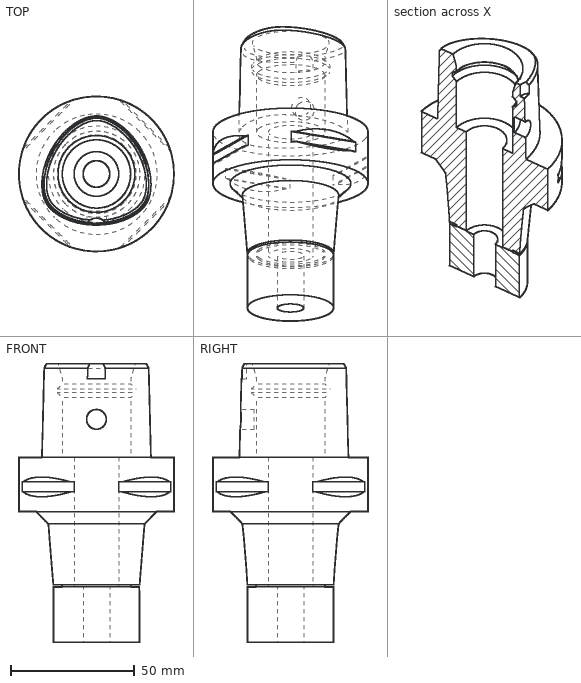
import cadquery as cq
import math

taper_top = 38.0
flange_bottom = -22.0
shoulder_bottom = -27.0
neck_bottom = -51.7
nut_gap = 0.8
nut_top = neck_bottom - nut_gap
nut_bottom = -75.0

polygon_width = 44.3
lobe_rise = 1.4
taper_narrowing = 1 / 20
rim_chamfer_height = 1.8
rim_chamfer_inset = 1.0
lobe_count = 3
spline_steps = 48

flange_diameter = 63.0
shoulder_top_diameter = 49.0
neck_top_diameter = 39.1
neck_bottom_diameter = 35.1
spigot_diameter = 28.0

mouth_diameter = 31.2
bore_diameter = 27.7
mouth_cone_depth = 6.1
lip_depth = 8.2
groove_diameter = 32.0
groove_end_depth = 13.7
groove_flank_height = 2.0
bore_depth = 38.0
shank_bore_diameter = 18.1

gripper_count = 4
gripper_start_angle = 45.0
gripper_mid = -12.0
gripper_floor_distance = 27.75
gripper_floor_height = 4.1
gripper_wall_depth = 0.7
gripper_mouth_height = 8.0

notch_radius = 4.5
notch_depth = 6.1
notch_reach = 17.9
index_hole_diameter = 8.0
index_hole_height = 15.4
index_hole_floor = 15.0

nut_diameter = 35.0
nut_collar_diameter = 34.9
nut_collar_height = 1.75
nut_edge_height = 0.2
nut_bore_diameter = 10.7


def turn(outline):
    """Revolve an outline of (radius, height) points about Z."""
    return cq.Workplane("XZ").polyline(outline).close().revolve(360, (0, 0), (0, 1))


def polygon_wire(width, height):
    """Three-lobed outline of constant width, with one lobe toward +Y."""
    def point(fraction):
        angle = 2 * math.pi * fraction
        reach = width / 2 - lobe_rise * math.sin(lobe_count * angle)
        slope = -lobe_count * lobe_rise * math.cos(lobe_count * angle)
        return (
            reach * math.cos(angle) - slope * math.sin(angle),
            reach * math.sin(angle) + slope * math.cos(angle),
            height,
        )

    points = [cq.Vector(*point(step / spline_steps)) for step in range(spline_steps)]
    return cq.Wire.assembleEdges([cq.Edge.makeSpline(points, periodic=True)])


def polygon_frustum(low_width, low_height, high_width, high_height):
    wires = [polygon_wire(low_width, low_height), polygon_wire(high_width, high_height)]
    return cq.Workplane(cq.Solid.makeLoft(wires, True))


def make_taper():
    chamfer_start = taper_top - rim_chamfer_height
    chamfer_width = polygon_width - chamfer_start * taper_narrowing
    rim_width = chamfer_width - 2 * rim_chamfer_inset
    shank = polygon_frustum(polygon_width, 0, chamfer_width, chamfer_start)
    rim = polygon_frustum(chamfer_width, chamfer_start, rim_width, taper_top)
    return shank.union(rim)


def make_turned_body():
    """Flange, conical shoulder, tapered neck and the spigot under it."""
    outline = [
        (0, 0),
        (flange_diameter / 2, 0),
        (flange_diameter / 2, flange_bottom),
        (shoulder_top_diameter / 2, flange_bottom),
        (neck_top_diameter / 2, shoulder_bottom),
        (neck_bottom_diameter / 2, neck_bottom),
        (spigot_diameter / 2, neck_bottom),
        (spigot_diameter / 2, nut_top),
        (0, nut_top),
    ]
    return turn(outline)


def make_bore():
    """Conical mouth, clamping groove, straight bore and the narrower shank bore."""
    outline = [
        (0, taper_top),
        (mouth_diameter / 2, taper_top),
        (bore_diameter / 2, taper_top - mouth_cone_depth),
        (bore_diameter / 2, taper_top - lip_depth),
        (groove_diameter / 2, taper_top - lip_depth - groove_flank_height),
        (groove_diameter / 2, taper_top - groove_end_depth + groove_flank_height),
        (bore_diameter / 2, taper_top - groove_end_depth),
        (bore_diameter / 2, taper_top - bore_depth),
        (shank_bore_diameter / 2, taper_top - bore_depth),
        (shank_bore_diameter / 2, nut_top),
        (0, nut_top),
    ]
    return turn(outline)


def make_gripper_groove():
    """Straight groove with a flat floor and flared walls, cut across the +X side of the flange."""
    flare_start = gripper_floor_distance + gripper_wall_depth
    flare_end = flange_diameter / 2
    outline = [
        (gripper_floor_distance, gripper_mid - gripper_floor_height / 2),
        (flare_start, gripper_mid - gripper_floor_height / 2),
        (flare_end, gripper_mid - gripper_mouth_height / 2),
        (flare_end, gripper_mid + gripper_mouth_height / 2),
        (flare_start, gripper_mid + gripper_floor_height / 2),
        (gripper_floor_distance, gripper_mid + gripper_floor_height / 2),
    ]
    return cq.Workplane("XZ").polyline(outline).close().extrude(flange_diameter / 2, both=True)


def make_notch():
    return (
        cq.Workplane("XY", origin=(0, -notch_reach - notch_radius, taper_top - notch_depth))
        .circle(notch_radius)
        .extrude(notch_depth)
    )


def make_index_hole():
    return (
        cq.Workplane("XZ", origin=(0, -index_hole_floor, index_hole_height))
        .circle(index_hole_diameter / 2)
        .extrude(polygon_width / 2)
    )


def make_holder():
    holder = make_turned_body().union(make_taper()).cut(make_bore())
    groove = make_gripper_groove()
    for index in range(gripper_count):
        angle = gripper_start_angle + index * 360 / gripper_count
        holder = holder.cut(groove.rotate((0, 0, 0), (0, 0, 1), angle))
    return holder.cut(make_notch()).cut(make_index_hole())


def make_nut():
    """Plain round nut with a slightly smaller collar, butting against the spigot."""
    nut_collar_bottom = nut_top - nut_collar_height
    outline = [
        (nut_bore_diameter / 2, nut_top),
        (nut_collar_diameter / 2, nut_top),
        (nut_collar_diameter / 2, nut_collar_bottom),
        (nut_diameter / 2, nut_collar_bottom - nut_edge_height),
        (nut_diameter / 2, nut_bottom),
        (nut_bore_diameter / 2, nut_bottom),
    ]
    return turn(outline)


holder = make_holder()
nut = make_nut()
result = cq.Compound.makeCompound([holder.val(), nut.val()])